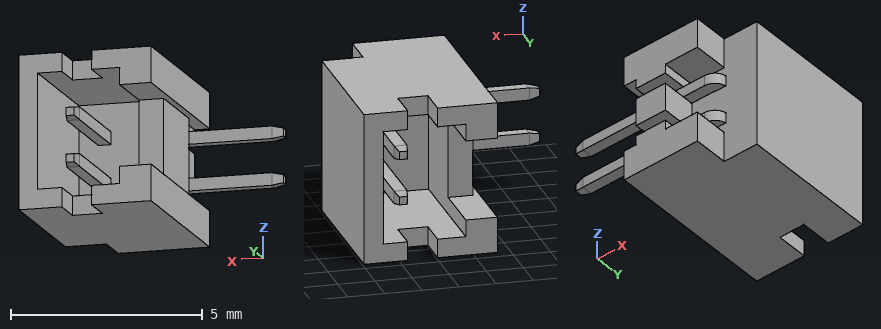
import cadquery as cq

total_length = 5.9
depth = 5.4
height = 4.15
mid_z = height / 2

housing_left = 2.3
side_wall = 0.98
opening_height = height - 2 * side_wall
bridge_left = 2.49
bridge_start_y = 1.3
bridge_end_y = 3.6
foot_left = 2.71
foot_right = 3.705
step_left = 4.79
step_depth = 1.09

shell = 0.52
cavity_left = 3.155
cavity_right = total_length - shell
cavity_start_y = step_depth + shell

notch_left = 3.92
notch_right = 4.725
notch_depth = 0.99

pin_width = 0.34
pin_pitch = 1.25
pin_front_y = 0.73
pin_back_y = 4.795
pin_right = 4.85
pin_bend_radius = 0.435
pin_inner_radius = pin_bend_radius - pin_width
tip_length = 0.3
tip_width = 0.22
pin_levels = [mid_z - pin_pitch / 2, mid_z + pin_pitch / 2]


def block(x0, x1, y0, y1, z_size):
    """Box between X and Y limits, centred on the mid height of the part."""
    box = cq.Workplane("XY").box(x1 - x0, y1 - y0, z_size, centered=(False, False, True))
    return box.translate((x0, y0, mid_z))


def make_housing():
    body = block(housing_left, total_length, 0, depth, height)
    cuts = [
        block(step_left, total_length, 0, step_depth, height),
        block(foot_right, step_left, 0, step_depth, opening_height),
        block(housing_left, bridge_left, 0, depth, opening_height),
        block(bridge_left, foot_left, 0, bridge_start_y, opening_height),
        block(bridge_left, cavity_left, bridge_end_y, depth, opening_height),
        block(cavity_left, cavity_right, cavity_start_y, depth, height - 2 * shell),
        block(notch_left, notch_right, depth - notch_depth, depth, height),
    ]
    for cut in cuts:
        body = body.cut(cut)
    for level in pin_levels:
        slot = block(foot_left, foot_right, 0, step_depth, pin_width)
        body = body.cut(slot.translate((0, 0, level - mid_z)))
    return body


def make_tip(base_center, direction):
    """Square taper leaving the end of a pin."""
    base = cq.Plane(origin=base_center, xDir=(0, 0, 1), normal=direction)
    tip = cq.Workplane(base).rect(pin_width, pin_width)
    return tip.workplane(offset=tip_length).rect(tip_width, tip_width).loft(combine=True)


def make_pin(level):
    inner_x = pin_right - pin_width
    inner_y = pin_front_y + pin_width
    bend_x = pin_right - pin_bend_radius
    bend_y = pin_front_y + pin_bend_radius
    shaft_end_y = pin_back_y - tip_length
    shaft = (
        cq.Workplane("XY")
        .workplane(offset=level - pin_width / 2)
        .moveTo(tip_length, pin_front_y)
        .lineTo(bend_x, pin_front_y)
        .radiusArc((pin_right, bend_y), -pin_bend_radius)
        .lineTo(pin_right, shaft_end_y)
        .lineTo(inner_x, shaft_end_y)
        .lineTo(inner_x, bend_y)
        .radiusArc((bend_x, inner_y), pin_inner_radius)
        .lineTo(tip_length, inner_y)
        .close()
        .extrude(pin_width)
    )
    front_tip = make_tip((tip_length, pin_front_y + pin_width / 2, level), (-1, 0, 0))
    back_tip = make_tip((pin_right - pin_width / 2, shaft_end_y, level), (0, 1, 0))
    return shaft.union(front_tip).union(back_tip)


result = make_housing()
for pin_level in pin_levels:
    result = result.union(make_pin(pin_level))